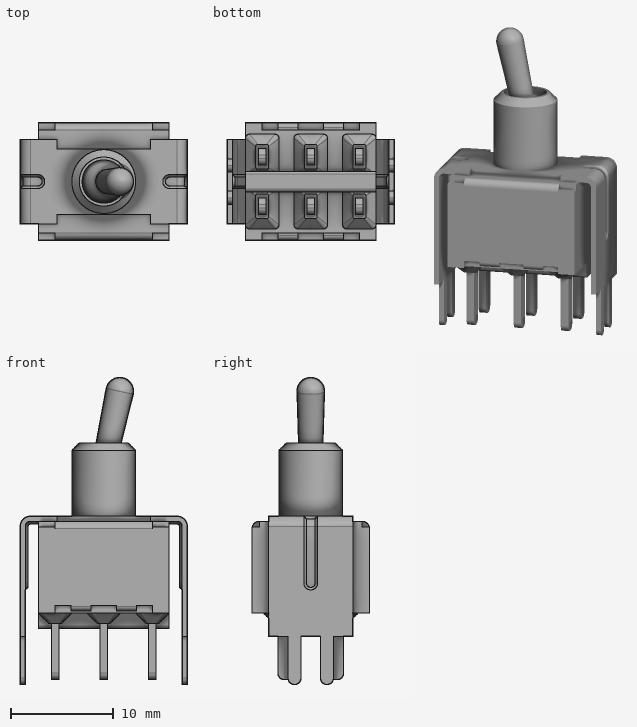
import cadquery as cq
import math


bracket_length = 16.26
bracket_width = 8.2
sheet = 0.51
bend_radius = 2 * sheet
plate_depth = 11.68
bracket_depth = 16.38
prong_width = 1.27
prong_tip_radius = 0.634
prong_pitch = 3.15
notch_length = 9.1
waist_width = 6.36

groove_width = 1.35
groove_floor_width = 0.85
groove_depth = 0.27
groove_strap_reach = 1.72
groove_leg_reach = 6.5

case_length = 12.7
case_width = 11.43
case_bottom = -9.42
cover_length = 9.46
cover_thickness = 0.72
cover_bottom = -8.7
end_step_height = 0.53
tab_width = 1.95
tab_pitch = 4.4
tab_bottom = -9.22
tab_radius = 0.45
rib_width = 2.0
rib_bottom = -10.93
rib_radius = 0.27

terminal_pitch = 4.72
terminal_row_pitch = 4.8
terminal_thickness = 0.76
terminal_width = 1.6
terminal_bottom = -15.9
terminal_tip_radius = 0.64
sealant_height = 1.0
sealant_length_margin = 0.25
sealant_width_margin = 0.4
sealant_corner = 0.2

bushing_radius = 3.1
bushing_top = 7.1
bushing_chamfer = 0.72
bore_diameter = 4.2

pivot_height = 4.95
lever_tilt = 12.2
lever_base_radius = 1.13
lever_tip_radius = 1.35
lever_top = 13.47
lever_length = (lever_top - lever_tip_radius - pivot_height) / math.cos(math.radians(lever_tilt))

case_top = -sheet
both_sides = (-1, 1)


def block(length, width, bottom, top, x=0, y=0):
    """Rectangular block centred on (x, y), from bottom to top."""
    return cq.Workplane("XY", origin=(x, y, bottom)).box(length, width, top - bottom, (True, True, False))


def trough(outer_radius):
    """Tapered round-ended bar that follows the +X bend, widest at outer_radius from the bend axis."""
    inner_radius = outer_radius - groove_depth
    half_wide = groove_width / 2
    half_narrow = groove_floor_width / 2
    bend_x = bracket_length / 2 - bend_radius
    bend_z = -bend_radius
    strap_end_x = bracket_length / 2 - groove_strap_reach
    section = [
        (-half_wide, outer_radius),
        (half_wide, outer_radius),
        (half_narrow, inner_radius),
        (-half_narrow, inner_radius),
    ]
    bend_plane = cq.Workplane("YZ", origin=(bend_x, 0, bend_z))
    strap_arm = bend_plane.polyline(section).close().extrude(strap_end_x - bend_x)
    bend = cq.Workplane(bend_plane.plane).polyline(section).close().revolve(90, (0, 0), (1, 0))
    leg_section = [(radius, y) for y, radius in section]
    leg_arm = (
        cq.Workplane("XY", origin=(bend_x, 0, bend_z))
        .polyline(leg_section)
        .close()
        .extrude(bend_radius - groove_leg_reach)
    )
    strap_end = cq.Solid.makeCone(
        half_wide, half_narrow, groove_depth,
        cq.Vector(strap_end_x, 0, bend_z + outer_radius), cq.Vector(0, 0, -1),
    )
    leg_end = cq.Solid.makeCone(
        half_wide, half_narrow, groove_depth,
        cq.Vector(bend_x + outer_radius, 0, -groove_leg_reach), cq.Vector(-1, 0, 0),
    )
    return bend.union(strap_arm).union(leg_arm).union(strap_end).union(leg_end)


def make_bracket():
    """U-shaped sheet bracket with two prongs on each leg."""
    outside = block(bracket_length, bracket_width, -bracket_depth, 0).edges("|Y and >Z").fillet(bend_radius)
    inside = block(bracket_length - 2 * sheet, bracket_width, -bracket_depth, -sheet)
    inside = inside.edges("|Y and >Z").fillet(bend_radius - sheet)

    leg_outline = block(bracket_length, bracket_width, -plate_depth, 0)
    for side in both_sides:
        prong = block(bracket_length, prong_width, -bracket_depth, -plate_depth, y=side * prong_pitch / 2)
        prong = prong.edges("|X and <Z").fillet(prong_tip_radius)
        leg_outline = leg_outline.union(prong)
    bracket = outside.cut(inside).intersect(leg_outline)

    notch_width = (bracket_width - waist_width) / 2
    for side in both_sides:
        notch_y = side * (bracket_width - notch_width) / 2
        bracket = bracket.cut(block(notch_length, notch_width, -sheet, 0, y=notch_y))

    ridge = trough(bend_radius - sheet)
    groove = trough(bend_radius)
    bracket = bracket.union(ridge).union(ridge.mirror("YZ"))
    return bracket.cut(groove).cut(groove.mirror("YZ"))


def make_case():
    """Case with rounded cover panels on its long sides, folded tabs and a rib between the terminal rows."""
    case = block(case_length, case_width, case_bottom, case_top).edges("|X and >Z").fillet(cover_thickness)
    end_length = (case_length - cover_length) / 2
    edge_y = (case_width - cover_thickness) / 2
    for side in both_sides:
        for end in both_sides:
            end_x = end * (case_length - end_length) / 2
            shoulder = block(end_length, cover_thickness, case_bottom, case_top - end_step_height,
                             end_x, side * edge_y)
            step = block(end_length, cover_thickness, case_top - end_step_height, case_top,
                         end_x, side * edge_y)
            case = case.union(shoulder).cut(step)

        case = case.cut(block(cover_length, cover_thickness, case_bottom, cover_bottom, y=side * edge_y))
        for tab_side in both_sides:
            tab = block(tab_width, cover_thickness, tab_bottom, cover_bottom,
                        tab_side * tab_pitch / 2, side * edge_y)
            outer_edge = ">Y" if side > 0 else "<Y"
            tab = tab.faces(outer_edge).edges("<Z").fillet(tab_radius)
            case = case.union(tab)

    rib = block(case_length, rib_width, rib_bottom, case_bottom).edges("|X and <Z").fillet(rib_radius)
    return case.union(rib)


def make_terminal(x, y):
    """Flat terminal with a rounded tip, set in a flared foot of sealant."""
    blade = block(terminal_thickness, terminal_width, terminal_bottom, case_bottom, x, y)
    blade = blade.edges("|X and <Z").fillet(terminal_tip_radius)

    foot_length = terminal_thickness + 2 * sealant_length_margin
    foot_width = terminal_width + 2 * sealant_width_margin
    flare = 2 * sealant_height
    narrow = cq.Sketch().rect(foot_length, foot_width).vertices().fillet(sealant_corner)
    wide = cq.Sketch().rect(foot_length + flare, foot_width + flare).vertices().fillet(2 * sealant_corner)
    foot = (
        cq.Workplane("XY", origin=(x, y, case_bottom - sealant_height))
        .placeSketch(narrow, wide.moved(cq.Location(cq.Vector(0, 0, sealant_height))))
        .loft()
    )
    return blade.union(foot)


def make_bushing():
    """Chamfered bushing standing on the bracket strap, before it is bored."""
    bushing = cq.Workplane("XY", origin=(0, 0, -sheet)).circle(bushing_radius).extrude(bushing_top + sheet)
    return bushing.faces(">Z").chamfer(bushing_chamfer)


def make_ball():
    """Pivot ball of the lever."""
    return cq.Workplane("XY", origin=(0, 0, pivot_height)).sphere(bore_diameter / 2)


def make_switch():
    """Bracket, case, terminals and bushing in one piece, with the bore and ball seat for the lever."""
    switch = make_case().union(make_bracket()).union(make_bushing())
    for column in (-1, 0, 1):
        for row in both_sides:
            switch = switch.union(make_terminal(column * terminal_pitch, row * terminal_row_pitch / 2))
    bore = (
        cq.Workplane("XY", origin=(0, 0, pivot_height))
        .circle(bore_diameter / 2)
        .extrude(bushing_top - pivot_height)
    )
    return switch.cut(bore).cut(make_ball())


def make_lever():
    """Tapered lever with a domed tip, tilted toward +X about its pivot ball."""
    handle = (
        cq.Workplane("XZ")
        .lineTo(lever_base_radius, 0)
        .lineTo(lever_tip_radius, lever_length)
        .radiusArc((0, lever_length + lever_tip_radius), -lever_tip_radius)
        .close()
        .revolve(360, (0, 0), (0, 1))
        .rotate((0, 0, 0), (0, 1, 0), lever_tilt)
        .translate((0, 0, pivot_height))
    )
    return make_ball().union(handle)


switch = make_switch()
lever = make_lever()

result = cq.Compound.makeCompound([*switch.solids().vals(), *lever.solids().vals()])